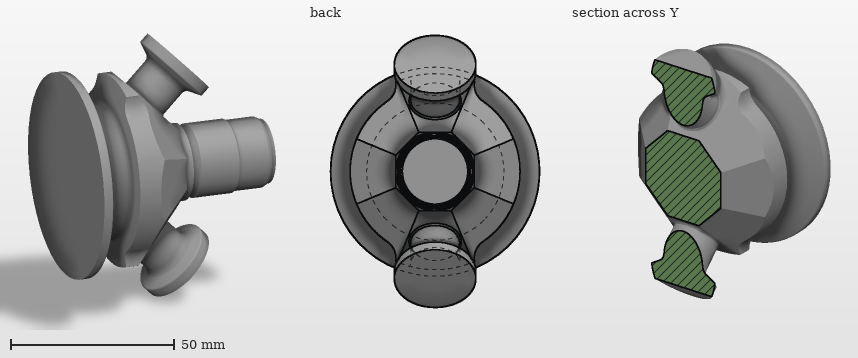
import cadquery as cq
import math

flange_radius = 32.0
flange_rim = 2.9
flange_rim_round = 0.7
flange_cone_end = 6.9
neck_radius = 21.0
neck_end = 13.1
neck_fillet = 1.0

body_radius = 26.0
tab_radius = 30.0
tab_half_width = 12.0
tab_fillet = 6.0
body_start = 14.2
pyramid_top = 35.0
collar_radius = 12.0
facet_count = 8
facet_angle = 45.0

collar_end = 37.25
groove_radius = 10.75
groove_end = 40.0
stem_radius = 11.5
stem_end = 52.5
seat_radius = 11.0
seat_end = 63.5
shoulder_chamfer = 0.5
seat_chamfer_length = 1.0
tip_radius = 10.0
tip_end = 65.0

port_radius = 7.5
port_flange_radius = 12.5
port_length = 16.0
port_rim = 3.5
port_cone = 2.0
port_fillet = 2.0
port_rim_round = 0.6
port_weld = 0.5
port_offset = 4.0
port_root = 5.0


def revolve_about_y(profile):
    return profile.close().revolve(360, (0, 0, 0), (0, 1, 0))


def edges_at(solid, radius, y):
    """Circular edges of a given radius about the Y axis at a given height."""
    tolerance = 0.01
    edges = [
        edge for edge in solid.edges("%CIRCLE").vals()
        if abs(edge.radius() - radius) < tolerance and abs(edge.Center().y - y) < tolerance
    ]
    return solid.newObject(edges)


back_slope = (body_start - neck_end) / (body_radius - neck_radius)
back_height_at_tab = neck_end + back_slope * (tab_radius - neck_radius)


def make_flange():
    flange = revolve_about_y(
        cq.Workplane("XY")
        .lineTo(flange_radius, 0)
        .lineTo(flange_radius, flange_rim)
        .lineTo(neck_radius, flange_cone_end)
        .lineTo(neck_radius, neck_end)
        .lineTo(tab_radius, back_height_at_tab)
        .lineTo(tab_radius, pyramid_top)
        .lineTo(0, pyramid_top)
    )
    flange = edges_at(flange, flange_radius, flange_rim).fillet(flange_rim_round)
    flange = edges_at(flange, neck_radius, flange_cone_end).fillet(neck_fillet)
    return edges_at(flange, neck_radius, neck_end).fillet(neck_fillet)


def meeting_point(center_x, center_z):
    """Point where the blend arc leaves the tab's outer radius, on the tab's side."""
    distance = math.hypot(center_x, center_z)
    cosine = (tab_radius**2 + distance**2 - tab_fillet**2) / (2 * tab_radius * distance)
    angle = math.atan2(center_z, center_x) + math.acos(cosine)
    return tab_radius * math.cos(angle), tab_radius * math.sin(angle)


def make_tab():
    """Tab towards +Z, its sides blended into the body by concave arcs."""
    center_x = tab_half_width + tab_fillet
    center_distance = body_radius + tab_fillet
    center_z = math.sqrt(center_distance**2 - center_x**2)
    blend_x = center_x * body_radius / center_distance
    blend_z = center_z * body_radius / center_distance
    corner_x, corner_z = meeting_point(center_x, center_z)
    chord_x = (blend_x + corner_x) / 2 - center_x
    chord_z = (blend_z + corner_z) / 2 - center_z
    stretch = tab_fillet / math.hypot(chord_x, chord_z)
    middle_x = center_x + stretch * chord_x
    middle_z = center_z + stretch * chord_z
    plane = cq.Plane((0, 0, 0), xDir=(-1, 0, 0), normal=(0, 1, 0))
    return (
        cq.Workplane(plane)
        .moveTo(-blend_x, blend_z)
        .threePointArc((-middle_x, middle_z), (-corner_x, corner_z))
        .threePointArc((0, tab_radius), (corner_x, corner_z))
        .threePointArc((middle_x, middle_z), (blend_x, blend_z))
        .lineTo(0, 0)
        .close()
        .extrude(pyramid_top)
    )


def make_body_envelope():
    """Limits of the flange and body: base, disc and tabs, cut by the pyramid."""
    tab = make_tab()
    disc = cq.Workplane("XZ").circle(body_radius).extrude(-pyramid_top)
    outline = disc.union(tab).union(tab.mirror("XY"))
    base = cq.Workplane("XZ").circle(flange_radius).extrude(-flange_cone_end)
    envelope = outline.union(base)

    corner_factor = 2 / math.cos(math.pi / facet_count)
    base_apothem = collar_radius + pyramid_top
    half_facet = 180 / facet_count
    pyramid = (
        cq.Workplane("XZ")
        .transformed(rotate=(0, 0, half_facet))
        .polygon(facet_count, base_apothem * corner_factor)
        .workplane(offset=-pyramid_top)
        .polygon(facet_count, collar_radius * corner_factor)
        .loft(ruled=True)
    )
    return envelope.intersect(pyramid)


def make_stem():
    return revolve_about_y(
        cq.Workplane("XY")
        .moveTo(0, pyramid_top)
        .lineTo(collar_radius, pyramid_top)
        .lineTo(collar_radius, collar_end)
        .lineTo(stem_radius, collar_end)
        .threePointArc((groove_radius, (collar_end + groove_end) / 2), (stem_radius, groove_end))
        .lineTo(stem_radius, stem_end)
        .lineTo(seat_radius, stem_end + shoulder_chamfer)
        .lineTo(seat_radius, seat_end - seat_chamfer_length)
        .lineTo(seat_radius - shoulder_chamfer, seat_end)
        .lineTo(tip_radius, seat_end)
        .lineTo(tip_radius, tip_end)
        .lineTo(0, tip_end)
    )


def make_port():
    """Upper port, built along +Y from the facet and then tilted into place."""
    cone_start = port_length - port_rim
    cone_end = cone_start - port_cone
    port = revolve_about_y(
        cq.Workplane("XY")
        .moveTo(0, -port_root)
        .lineTo(port_radius, -port_root)
        .lineTo(port_radius, 0)
        .lineTo(port_radius + port_weld, 0)
        .lineTo(port_radius, port_weld)
        .lineTo(port_radius, cone_end)
        .lineTo(port_flange_radius, cone_start)
        .lineTo(port_flange_radius, port_length)
        .lineTo(0, port_length)
    )
    port = edges_at(port, port_radius, cone_end).fillet(port_fillet)
    port = edges_at(port, port_flange_radius, cone_start).fillet(port_rim_round)
    facet_sum = pyramid_top + collar_radius
    facet_y = (facet_sum + port_offset) / 2
    facet_z = (facet_sum - port_offset) / 2
    return port.rotate((0, 0, 0), (1, 0, 0), facet_angle).translate((0, facet_y, facet_z))


port = make_port()
body = make_flange().intersect(make_body_envelope())
result = body.union(make_stem()).union(port).union(port.mirror("XY"))